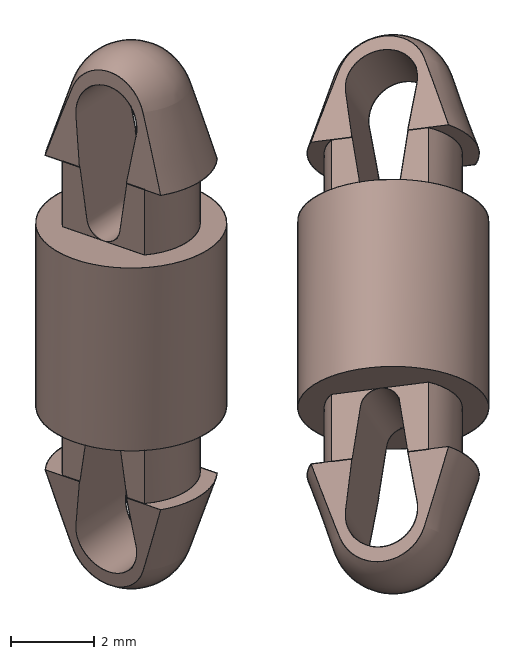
import cadquery as cq
import math

total_length = 14.6
body_diameter = 4.6
body_length = 5.0

post_radius = 1.66
post_length = 1.8
post_half_thickness = 1.132

barb_radius = 2.07
barb_half_thickness = 1.15
dome_radius = 1.5
face_taper = 5.5

slot_tip_radius = 0.9
slot_root_radius = 0.5
tip_wall = 0.67

tip_z = total_length / 2
body_top = body_length / 2
barb_z = body_top + post_length
head_length = tip_z - barb_z
dome_center_z = tip_z - dome_radius


def make_post():
    """Round post with two flats, rooted slightly inside the body."""
    root_overlap = 0.15
    length = post_length + root_overlap
    post = cq.Workplane("XY").circle(post_radius).extrude(length)
    slab = cq.Workplane("XY").box(
        2 * post_radius, 2 * post_half_thickness, length, centered=(True, True, False)
    )
    return post.intersect(slab).translate((0, 0, body_top - root_overlap))


def make_head():
    """Conical barb running tangent into a spherical dome, with tapered flats."""
    center_drop = dome_center_z - barb_z
    center_distance = math.hypot(barb_radius, center_drop)
    tangent_angle = math.acos(dome_radius / center_distance) - math.atan2(center_drop, barb_radius)
    middle_angle = (tangent_angle + math.pi / 2) / 2

    def on_dome(angle):
        return (dome_radius * math.cos(angle), dome_center_z + dome_radius * math.sin(angle))

    solid = (
        cq.Workplane("XZ")
        .moveTo(0, barb_z)
        .lineTo(barb_radius, barb_z)
        .lineTo(*on_dome(tangent_angle))
        .threePointArc(on_dome(middle_angle), (0, tip_z))
        .close()
        .revolve(360, (0, 0, 0), (0, 1, 0))
    )
    tip_half_thickness = barb_half_thickness - head_length * math.tan(math.radians(face_taper))
    wedge = (
        cq.Workplane("YZ", origin=(-barb_radius, 0, 0))
        .moveTo(-barb_half_thickness, barb_z)
        .lineTo(barb_half_thickness, barb_z)
        .lineTo(tip_half_thickness, tip_z)
        .lineTo(-tip_half_thickness, tip_z)
        .close()
        .extrude(2 * barb_radius)
    )
    return solid.intersect(wedge)


def make_slot():
    """Teardrop slot along Y: two arcs joined by their common tangents."""
    tip_center_z = tip_z - tip_wall - slot_tip_radius
    root_center_z = body_top + slot_root_radius
    lean = math.asin((slot_tip_radius - slot_root_radius) / (tip_center_z - root_center_z))

    def tangent_point(radius, center_z, side):
        return (side * radius * math.cos(lean), center_z - radius * math.sin(lean))

    return (
        cq.Workplane("XZ", origin=(0, body_diameter / 2, 0))
        .moveTo(*tangent_point(slot_root_radius, root_center_z, 1))
        .lineTo(*tangent_point(slot_tip_radius, tip_center_z, 1))
        .threePointArc(
            (0, tip_center_z + slot_tip_radius),
            tangent_point(slot_tip_radius, tip_center_z, -1),
        )
        .lineTo(*tangent_point(slot_root_radius, root_center_z, -1))
        .threePointArc((0, body_top), tangent_point(slot_root_radius, root_center_z, 1))
        .close()
        .extrude(body_diameter)
    )


body = cq.Workplane("XY").cylinder(body_length, body_diameter / 2)
snap_end = make_post().union(make_head()).cut(make_slot())
result = body.union(snap_end).union(snap_end.mirror("XY"))